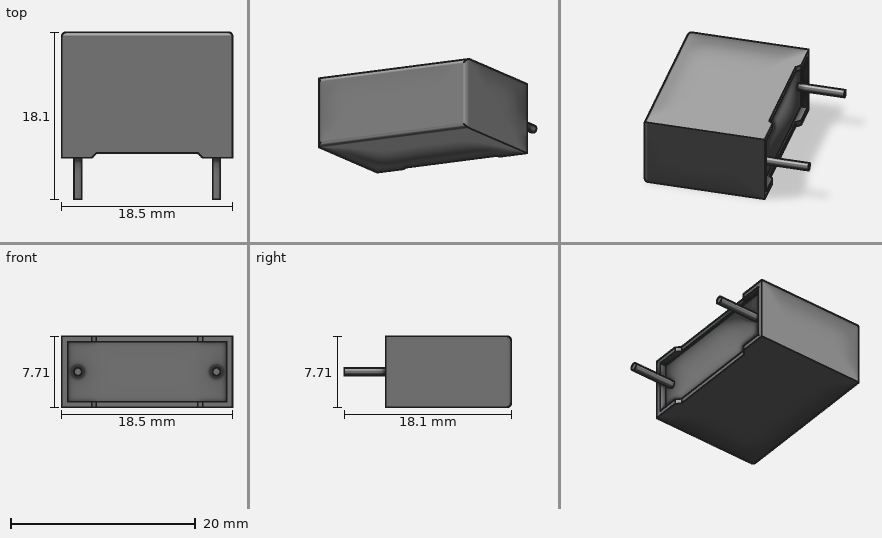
import cadquery as cq


case_width = 18.5
case_depth = 13.6
case_height = 7.71
side_wall = 0.65
face_wall = 0.6
back_wall = face_wall
back_edge_radius = 0.5

relief_depth = 0.5
relief_inner_width = 11.0
relief_outer_width = relief_inner_width + 2 * relief_depth

fill_setback = 0.75
fill_width = case_width - 2 * side_wall
fill_height = case_height - 2 * face_wall
fill_depth = case_depth - back_wall - fill_setback

lead_diameter = 0.85
lead_pitch = 15.0
lead_reach = 4.5


def block(width, height, front, depth):
    """Box centred on X and Z that starts at Y = front and runs towards +Y."""
    return cq.Workplane("XY").box(width, depth, height).translate((0, front + depth / 2, 0))


def make_case():
    body = block(case_width, case_height, 0, case_depth)
    body = body.faces(">Y").edges().fillet(back_edge_radius)
    cavity = block(fill_width, fill_height, 0, case_depth - back_wall)
    relief = (
        cq.Workplane("XY")
        .moveTo(-relief_outer_width / 2, 0)
        .lineTo(-relief_inner_width / 2, relief_depth)
        .lineTo(relief_inner_width / 2, relief_depth)
        .lineTo(relief_outer_width / 2, 0)
        .close()
        .extrude(case_height / 2, both=True)
    )
    return body.cut(cavity).cut(relief)


def make_fill():
    return block(fill_width, fill_height, fill_setback, fill_depth)


def make_lead(x):
    """Round lead that stands on the resin surface and points towards -Y."""
    base = cq.Workplane("XZ", origin=(x, fill_setback, 0))
    return base.circle(lead_diameter / 2).extrude(fill_setback + lead_reach)


case = make_case()
fill = make_fill()
leads = [make_lead(side * lead_pitch / 2) for side in (-1, 1)]

result = cq.Compound.makeCompound([case.val(), fill.val(), *[lead.val() for lead in leads]])